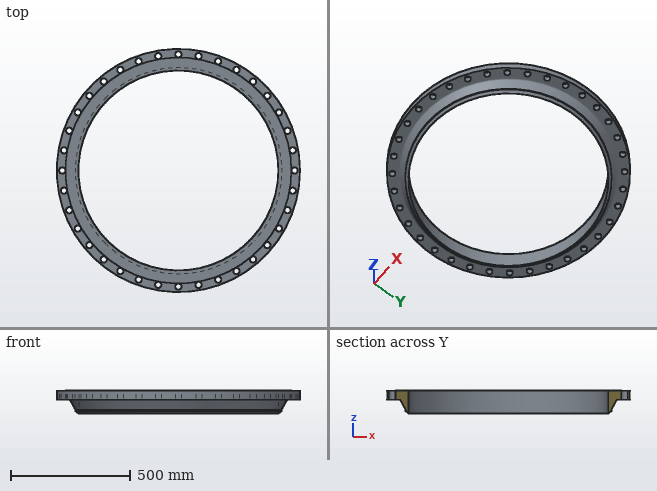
import cadquery as cq

outer_radius = 511.0
bore_radius = 419.0
flange_thickness = 40.0
overall_height = 97.0

face_radius = 474.0
face_height = 1.0

hub_top_radius = 456.0
weld_end_radius = 433.0
weld_tip_radius = 420.0
weld_band_height = 6.0
weld_bevel_height = 10.0
hub_fillet = 7.0
radius_tolerance = 0.1

bolt_count = 36
bolt_circle_radius = 488.0
bolt_hole_diameter = 26.0

flange_bottom = overall_height - flange_thickness
rim_level = overall_height - face_height
weld_band_top = weld_bevel_height + weld_band_height


def make_body():
    """Revolve the ring section about the Z axis."""
    section = [
        (bore_radius, 0),
        (weld_tip_radius, 0),
        (weld_end_radius, weld_bevel_height),
        (weld_end_radius, weld_band_top),
        (hub_top_radius, flange_bottom),
        (outer_radius, flange_bottom),
        (outer_radius, rim_level),
        (face_radius, rim_level),
        (face_radius, overall_height),
        (bore_radius, overall_height),
    ]
    body = cq.Workplane("XZ").polyline(section).close().revolve(360, (0, 0), (0, 1))
    corner_edges = body.edges("%CIRCLE").filter(
        lambda edge: abs(edge.radius() - hub_top_radius) < radius_tolerance
    )
    return corner_edges.fillet(hub_fillet)


def make_bolt_holes():
    """Cylinders on the bolt circle, one of them on the +X axis."""
    return (
        cq.Workplane("XY")
        .workplane(offset=flange_bottom)
        .polarArray(bolt_circle_radius, 0, 360, bolt_count)
        .circle(bolt_hole_diameter / 2)
        .extrude(flange_thickness)
    )


result = make_body().cut(make_bolt_holes())